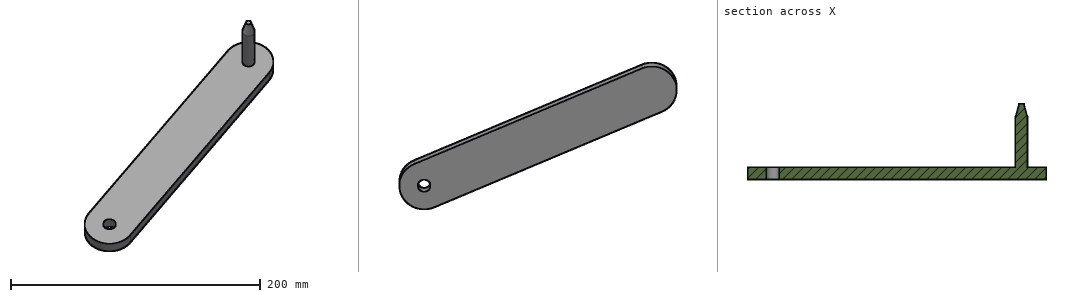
import cadquery as cq

length = 240.0
width = 40.0
thickness = 10.0
total_height = 61.0
round_diameter = 10.0
pin_straight_height = 39.8
tip_diameter = 4.0

pivot_offset = (length - width) / 2
taper_height = total_height - thickness - pin_straight_height


def make_bar():
    """Flat bar with full-round ends and a through hole at the -Y end."""
    bar = cq.Workplane("XY").slot2D(length, width, angle=90).extrude(thickness)
    return bar.faces(">Z").workplane(origin=(0, -pivot_offset, 0)).hole(round_diameter)


def make_pin():
    """Upright pin at the +Y end, tapering to a flat tip."""
    shaft = (
        cq.Workplane("XY")
        .center(0, pivot_offset)
        .circle(round_diameter / 2)
        .extrude(thickness + pin_straight_height)
    )
    taper = (
        shaft.faces(">Z")
        .workplane()
        .circle(round_diameter / 2)
        .workplane(offset=taper_height)
        .circle(tip_diameter / 2)
        .loft(combine=False)
    )
    return shaft.union(taper)


result = make_bar().union(make_pin())